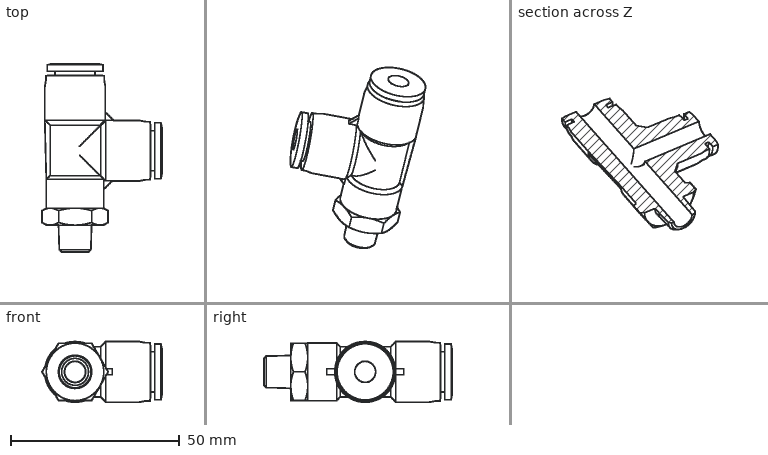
import cadquery as cq
import math


overall_length = 55.75

port_reach = 25.75
release_ring_diameter = 16.6
release_ring_face_diameter = 13.6
release_ring_bevel = 0.35
release_ring_start = 23.5
neck_diameter = 11.95
mouth_reach = 22.35
mouth_diameter = 17.3
mouth_face_diameter = 15.15
mouth_bevel = 0.15
run_taper_end = 21.1
branch_taper_end = 20.85
socket_diameter = 18.0
socket_taper_start = 19.0
socket_start = 9.1
core_diameter = 14.95
core_reach = 7.6

shank_diameter = 17.1
shank_start = 8.5
hex_corner_diameter = 19.6
hex_height = 5.0
hex_start = 17.0
hex_bevel_angle = math.radians(30)
stud_reach = overall_length - port_reach
stud_root_diameter = 9.85
stud_tip_diameter = 9.4
stud_chamfer = 0.7

bore_diameter = 6.2

web_thickness = 1.85
gusset_leg = 2.4

socket_radius = socket_diameter / 2
core_radius = core_diameter / 2
shank_radius = shank_diameter / 2
hex_end = hex_start + hex_height


def turned_about_y(profile):
    """Solid of revolution about Y from (radius, y) points."""
    return cq.Workplane("XY").polyline(profile).close().revolve(360, (0, 0), (0, 1))


def port(taper_end):
    """Tube port along +Y: core, socket, neck and release ring."""
    ring_radius = release_ring_diameter / 2
    return turned_about_y([
        (0, 0),
        (core_radius, 0),
        (core_radius, core_reach),
        (socket_radius, socket_start),
        (socket_radius, socket_taper_start),
        (mouth_diameter / 2, taper_end),
        (mouth_diameter / 2, mouth_reach - mouth_bevel),
        (mouth_face_diameter / 2, mouth_reach),
        (neck_diameter / 2, mouth_reach),
        (neck_diameter / 2, release_ring_start),
        (ring_radius, release_ring_start),
        (ring_radius, port_reach - release_ring_bevel),
        (release_ring_face_diameter / 2, port_reach),
        (0, port_reach),
    ])


def shank():
    """Core and wider round shank down to the hexagon."""
    flare_start = shank_start - (shank_radius - core_radius)
    return turned_about_y([
        (0, 0),
        (core_radius, 0),
        (core_radius, -flare_start),
        (shank_radius, -shank_start),
        (shank_radius, -hex_start),
        (0, -hex_start),
    ])


def hexagon():
    """Hexagon with corners on the X axis, its corners bevelled at both ends."""
    flat_radius = hex_corner_diameter / 2 * math.cos(math.pi / 6)
    corner_radius = hex_corner_diameter / 2
    bevel_height = (corner_radius - flat_radius) * math.tan(hex_bevel_angle)
    prism = (
        cq.Workplane("XZ", origin=(0, -hex_start, 0))
        .polygon(6, hex_corner_diameter)
        .extrude(hex_height)
    )
    bevel_envelope = turned_about_y([
        (0, -hex_start),
        (flat_radius, -hex_start),
        (corner_radius, -hex_start - bevel_height),
        (corner_radius, -hex_end + bevel_height),
        (flat_radius, -hex_end),
        (0, -hex_end),
    ])
    return prism.intersect(bevel_envelope)


def stud():
    """Slightly tapered stud with a chamfered tip."""
    tip_radius = stud_tip_diameter / 2
    return turned_about_y([
        (0, -hex_end),
        (stud_root_diameter / 2, -hex_end),
        (tip_radius, -stud_reach + stud_chamfer),
        (tip_radius - stud_chamfer, -stud_reach),
        (0, -stud_reach),
    ])


def web():
    """Rib along the back of the run and a gusset in each corner beside the branch."""
    outline = [
        (-socket_radius, socket_start),
        (0, socket_start),
        (0, socket_radius + gusset_leg),
        (socket_radius, socket_radius + gusset_leg),
        (socket_radius + gusset_leg, socket_radius),
        (shank_radius + gusset_leg, -socket_radius),
        (shank_radius, -socket_radius - gusset_leg),
        (0, -socket_radius - gusset_leg),
        (0, -shank_start),
        (-shank_radius, -shank_start),
    ]
    return cq.Workplane("XY").polyline(outline).close().extrude(web_thickness / 2, both=True)


def bores():
    """Bore through the whole run, and a bore from the branch mouth into it."""
    run_bore = (
        cq.Workplane("XZ", origin=(0, port_reach, 0))
        .circle(bore_diameter / 2)
        .extrude(port_reach + stud_reach)
    )
    branch_bore = cq.Workplane("YZ").circle(bore_diameter / 2).extrude(port_reach)
    return run_bore.union(branch_bore)


run_port = port(run_taper_end)
branch_port = port(branch_taper_end).rotate((0, 0, 0), (0, 0, 1), -90)

result = run_port.union(shank()).union(branch_port)
result = result.union(hexagon()).union(stud()).union(web())
result = result.cut(bores())